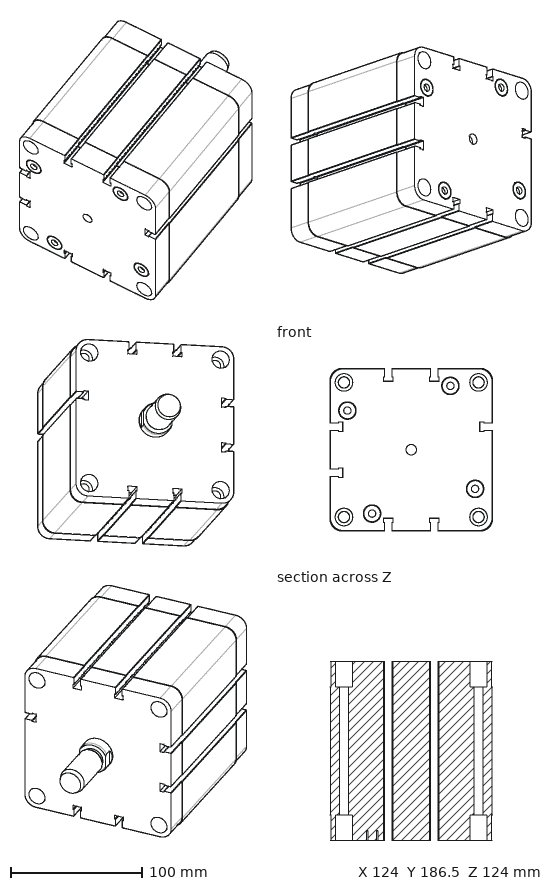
import cadquery as cq
import math

total_length = 186.5
barrel_width = 124.0
cap_width = 123.0
corner_radius = 9.3
cap_length = 19.4
barrel_length = 97.7
housing_length = barrel_length + 2 * cap_length

slot_offset = 17.5
neck_width = 5.5
floor_width = 7.0
slot_depth = 9.5
mouth_chamfer = 0.4
floor_height = 3.4

mount_offset = 51.3
mount_diameter = 8.4
mount_bore_diameter = 13.5
mount_bore_depth = cap_length

screw_far = 48.7
screw_near = 29.8
screw_bore_diameter = 13.5
screw_head_diameter = 12.5
screw_head_height = 7.5
socket_diameter = 5.6
socket_depth = 2.8

center_hole_diameter = 8.0
center_hole_depth = 5.0

rod_diameter = 25.0
shoulder_length = 9.9
shoulder_chamfer_length = 1.9
shoulder_chamfer_height = 0.5
flat_width = 22.0
flat_length = 7.3
relief_diameter = 17.5
thread_diameter = 20.0
thread_start = 150.1
tip_chamfer_length = 3.7
thread_chamfer = (thread_diameter - relief_diameter) / 2


def rounded_block(width, start, length):
    """Square prism along Y with rounded long edges."""
    block = cq.Workplane("XY").box(width, length, width, centered=(True, False, True))
    return block.edges("|Y").fillet(corner_radius).translate((0, start, 0))


def rear_cylinder(x, z, diameter, depth):
    """Cylinder that starts on the rear cap face and runs towards +Y."""
    solid = cq.Solid.makeCylinder(diameter / 2, depth, cq.Vector(x, 0, z), cq.Vector(0, 1, 0))
    return cq.Workplane(obj=solid)


def sensor_slot(width, start, length):
    """T-slot cutter in the top face of a block of the given width, centred on X = 0."""
    half_neck = neck_width / 2
    half_floor = floor_width / 2
    half_mouth = half_neck + mouth_chamfer
    face = width / 2
    floor = face - slot_depth
    step = floor + floor_height
    outline = [
        (-half_floor, floor),
        (-half_floor, step),
        (-half_neck, step),
        (-half_neck, face - mouth_chamfer),
        (-half_mouth, face),
        (half_mouth, face),
        (half_neck, face - mouth_chamfer),
        (half_neck, step),
        (half_floor, step),
        (half_floor, floor),
    ]
    return cq.Workplane("XZ", origin=(0, start, 0)).polyline(outline).close().extrude(-length)


def placed_slot(offset, turn):
    """Slot along the whole housing, moved to X = offset and turned about Y."""
    front_cap_start = housing_length - cap_length
    cutter = sensor_slot(barrel_width, cap_length, barrel_length)
    cutter = cutter.union(sensor_slot(cap_width, 0, cap_length))
    cutter = cutter.union(sensor_slot(cap_width, front_cap_start, cap_length))
    return cutter.translate((offset, 0, 0)).rotate((0, 0, 0), (0, 1, 0), turn)


def cap_screw_recess(quarter_turn):
    """Ring gap around a screw head and the round socket in its face."""
    angle = math.atan2(screw_near, -screw_far) + math.radians(90 * quarter_turn)
    radius = math.hypot(screw_far, screw_near)
    x = radius * math.cos(angle)
    z = radius * math.sin(angle)
    ring = rear_cylinder(x, z, screw_bore_diameter, screw_head_height)
    ring = ring.cut(rear_cylinder(x, z, screw_head_diameter, screw_head_height))
    socket = rear_cylinder(x, z, socket_diameter, socket_depth)
    return ring.union(socket)


def piston_rod():
    """Stepped rod with wrench flats, thread relief and threaded end."""
    shoulder_end = housing_length + shoulder_length
    shoulder_radius = rod_diameter / 2
    relief_radius = relief_diameter / 2
    thread_radius = thread_diameter / 2
    rod = (
        cq.Workplane("XY")
        .moveTo(0, housing_length)
        .lineTo(shoulder_radius, housing_length)
        .lineTo(shoulder_radius, shoulder_end - shoulder_chamfer_length)
        .lineTo(shoulder_radius - shoulder_chamfer_height, shoulder_end)
        .lineTo(relief_radius, shoulder_end)
        .lineTo(relief_radius, thread_start - thread_chamfer)
        .lineTo(thread_radius, thread_start)
        .lineTo(thread_radius, total_length - tip_chamfer_length)
        .lineTo(relief_radius, total_length)
        .lineTo(0, total_length)
        .close()
        .revolve(360, (0, 0, 0), (0, 1, 0))
    )
    flat_start = shoulder_end - flat_length
    run_out = (rod_diameter - flat_width) / 2
    flat = (
        cq.Workplane("XY")
        .moveTo(flat_width / 2, shoulder_end)
        .lineTo(flat_width / 2, flat_start)
        .lineTo(flat_width / 2 + run_out, flat_start - run_out)
        .lineTo(flat_width / 2 + run_out, shoulder_end)
        .close()
        .extrude(rod_diameter / 2, both=True)
    )
    return rod.cut(flat).cut(flat.mirror("YZ"))


result = rounded_block(barrel_width, cap_length, barrel_length)
result = result.union(rounded_block(cap_width, 0, cap_length))
result = result.union(rounded_block(cap_width, housing_length - cap_length, cap_length))

for turn in (0, 180, 270):
    for side in (-1, 1):
        result = result.cut(placed_slot(side * slot_offset, turn))
result = result.cut(placed_slot(-slot_offset, 90))

front_bore_start = housing_length - mount_bore_depth
for x in (-mount_offset, mount_offset):
    for z in (-mount_offset, mount_offset):
        bore = rear_cylinder(x, z, mount_bore_diameter, mount_bore_depth)
        result = result.cut(rear_cylinder(x, z, mount_diameter, housing_length))
        result = result.cut(bore).cut(bore.translate((0, front_bore_start, 0)))

for quarter_turn in range(4):
    result = result.cut(cap_screw_recess(quarter_turn))

result = result.cut(rear_cylinder(0, 0, center_hole_diameter, center_hole_depth))
result = result.union(piston_rod())